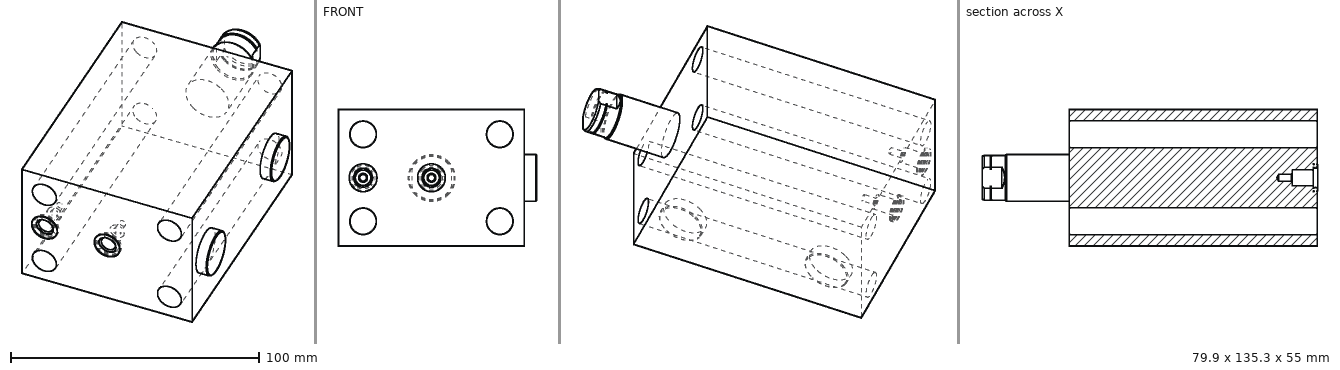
import cadquery as cq
import math

OVERALL_LENGTH = 135.3

BLOCK_WIDTH = 75.0
BLOCK_LENGTH = 100.0
BLOCK_HEIGHT = 55.0

MOUNT_HOLE_DIAMETER = 10.5
MOUNT_HOLE_SPACING_X = 55.0
MOUNT_HOLE_SPACING_Z = 35.0

PORT_PITCH = MOUNT_HOLE_SPACING_X / 2
PORT_POSITIONS_X = (-PORT_PITCH, 0)
RING_MEAN_RADIUS = 4.7
RING_SECTION_RADIUS = 1.0
RING_PROTRUSION = 0.3
RING_BITE = 0.07
PORT_BORE_RADIUS = 3.1
PORT_BORE_DEPTH = 10.0
PORT_COUNTERSINK_RADIUS = 1.8
PORT_DRILL_RADIUS = 1.4
PORT_DRILL_DEPTH = 5.4
DRILL_TIP_ANGLE = 118

PLUG_DIAMETER = 19
PLUG_HEIGHT = 4.9
PLUG_CHAMFER = 0.4
PLUG_POSITIONS_Y = (13.4, 77.4)

CONNECTOR_LENGTH = OVERALL_LENGTH - BLOCK_LENGTH - RING_PROTRUSION
BODY_RADIUS = 9.5
BODY_CHAMFER_LENGTH = 0.5
NECK_RADIUS = 9.0
NECK_LENGTH = 9.3
TIP_CHAMFER_LENGTH = 1.0
TIP_CHAMFER_DEPTH = 0.4
GROOVE_WIDTH = 0.4
GROOVE_DEPTH = 0.4
GROOVE_TO_TIP = 3.4
FLAT_HALF_WIDTH = 8.0
FLAT_LENGTH = 8.0


def revolve_about_y(profile_points):
    """Turn a closed (radius, y) profile about the Y axis."""
    return cq.Workplane("XY").polyline(profile_points).close().revolve(360, (0, 0, 0), (0, 1, 0))


def make_block():
    block = cq.Workplane("XY").box(BLOCK_WIDTH, BLOCK_LENGTH, BLOCK_HEIGHT, centered=(True, False, True))
    mount_holes = (
        cq.Workplane("XZ")
        .rarray(MOUNT_HOLE_SPACING_X, MOUNT_HOLE_SPACING_Z, 2, 2)
        .circle(MOUNT_HOLE_DIAMETER / 2)
        .extrude(-BLOCK_LENGTH)
    )
    return block.cut(mount_holes)


def make_port_cavity():
    """Ring groove, bore and countersunk drilled hole on a common axis."""
    groove_radius = RING_MEAN_RADIUS + RING_SECTION_RADIUS - RING_BITE
    groove_depth = 2 * RING_SECTION_RADIUS - RING_PROTRUSION - RING_BITE
    countersink_bottom = PORT_BORE_DEPTH + PORT_COUNTERSINK_RADIUS - PORT_DRILL_RADIUS
    drill_bottom = PORT_BORE_DEPTH + PORT_DRILL_DEPTH
    drill_tip = drill_bottom + PORT_DRILL_RADIUS / math.tan(math.radians(DRILL_TIP_ANGLE / 2))
    return revolve_about_y([
        (0, 0),
        (groove_radius, 0),
        (groove_radius, groove_depth),
        (PORT_BORE_RADIUS, groove_depth),
        (PORT_BORE_RADIUS, PORT_BORE_DEPTH),
        (PORT_COUNTERSINK_RADIUS, PORT_BORE_DEPTH),
        (PORT_DRILL_RADIUS, countersink_bottom),
        (PORT_DRILL_RADIUS, drill_bottom),
        (0, drill_tip),
    ])


def make_ring():
    return (
        cq.Workplane("XY")
        .center(RING_MEAN_RADIUS, RING_SECTION_RADIUS - RING_PROTRUSION)
        .circle(RING_SECTION_RADIUS)
        .revolve(360, (-RING_MEAN_RADIUS, 0, 0), (-RING_MEAN_RADIUS, 1, 0))
    )


def make_plug():
    return (
        cq.Workplane("YZ", origin=(BLOCK_WIDTH / 2, 0, 0))
        .circle(PLUG_DIAMETER / 2)
        .extrude(PLUG_HEIGHT)
        .faces(">X")
        .chamfer(PLUG_CHAMFER)
    )


def make_connector():
    """Stepped, grooved cylinder with a flat on each side; its base is at Y = 0."""
    tip = CONNECTOR_LENGTH
    neck_start = tip - NECK_LENGTH
    groove_end = tip - GROOVE_TO_TIP
    groove_start = groove_end - GROOVE_WIDTH
    groove_radius = NECK_RADIUS - GROOVE_DEPTH
    connector = revolve_about_y([
        (0, 0),
        (BODY_RADIUS, 0),
        (BODY_RADIUS, neck_start - BODY_CHAMFER_LENGTH),
        (NECK_RADIUS, neck_start),
        (NECK_RADIUS, groove_start),
        (groove_radius, groove_start),
        (groove_radius, groove_end),
        (NECK_RADIUS, groove_end),
        (NECK_RADIUS, tip - TIP_CHAMFER_LENGTH),
        (NECK_RADIUS - TIP_CHAMFER_DEPTH, tip),
        (0, tip),
    ])
    flat_start = tip - FLAT_LENGTH
    ramp = BODY_RADIUS - FLAT_HALF_WIDTH
    flat_cut = (
        cq.Workplane("XY")
        .polyline([
            (FLAT_HALF_WIDTH, tip),
            (FLAT_HALF_WIDTH, flat_start),
            (FLAT_HALF_WIDTH + ramp, flat_start - ramp),
            (FLAT_HALF_WIDTH + ramp, tip),
        ])
        .close()
        .extrude(BODY_RADIUS, both=True)
    )
    return connector.cut(flat_cut).cut(flat_cut.mirror("YZ"))


result = make_block()
for port_x in PORT_POSITIONS_X:
    result = result.cut(make_port_cavity().translate((port_x, 0, 0)))
    result = result.union(make_ring().translate((port_x, 0, 0)))
for plug_y in PLUG_POSITIONS_Y:
    result = result.union(make_plug().translate((0, plug_y, 0)))
result = result.union(make_connector().translate((0, BLOCK_LENGTH, 0)))